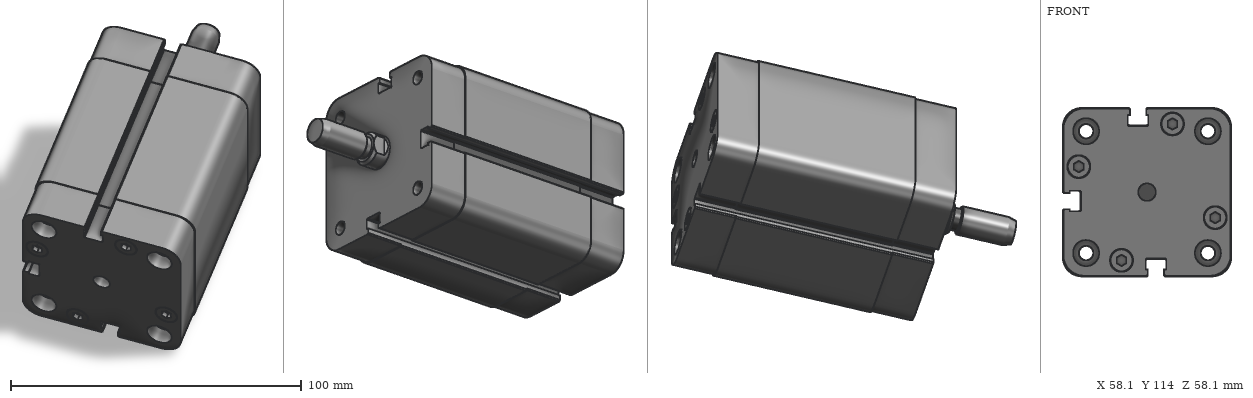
import cadquery as cq
import math


overall_length = 114.0
rod_length = 28.5
cap_length = 14.7
body_size = 58.1
cap_step = 0.3
cap_size = body_size - 2 * cap_step
corner_radius = 6.8
block_length = overall_length - rod_length
barrel_length = block_length - 2 * cap_length

slot_offset = 3.1
slot_mouth_width = 5.5
slot_undercut_width = 7.0
slot_ledge_distance = 26.6
slot_depth = 6.0
slot_mouth_chamfer = 0.5
slot_floor_chamfer = 0.3
slot_angles = (0, 90, 180)

mount_spacing = 42.0
mount_hole_diameter = 4.9
mount_counterbore_diameter = 9.0
mount_counterbore_depth = 5.7

screw_offset_along_side = 8.8
screw_offset_to_side = 23.5
screw_head_diameter = 7.5
screw_recess_diameter = 8.0
screw_recess_depth = 4.0
hex_across_flats = 3.4
hex_depth = 2.0

center_hole_diameter = 6.0
center_hole_depth = 11.4

collar_diameter = 12.0
collar_length = 6.4
collar_chamfer_length = 1.1
flats_width = 10.0
flats_start = 1.8
neck_diameter = 7.9
thread_start = 9.0
thread_diameter = 10.0
thread_root_chamfer = 0.5
tip_diameter = 8.5
tip_length = 2.7


def rear_plane(y=0.0):
    """Plane square to the rod at depth y, local axes along +X and +Z, normal along -Y."""
    return cq.Workplane("XZ", origin=(0, y, 0))


def cylinder_along_y(x, z, diameter, y_start, length):
    return rear_plane(y_start).center(x, z).circle(diameter / 2).extrude(-length)


def slot_cutter(face_distance, y_start, length):
    """T-slot cutter for the top face of a block whose sides are face_distance from the axis."""
    half_mouth = slot_mouth_width / 2
    half_undercut = slot_undercut_width / 2
    half_entry = half_mouth + slot_mouth_chamfer
    floor = face_distance - slot_depth
    right_side = [
        (half_undercut - slot_floor_chamfer, floor),
        (half_undercut, floor + slot_floor_chamfer),
        (half_undercut, slot_ledge_distance),
        (half_mouth, slot_ledge_distance),
        (half_mouth, face_distance - slot_mouth_chamfer),
        (half_entry, face_distance),
    ]
    left_side = [(-x, z) for x, z in reversed(right_side)]
    return (
        rear_plane(y_start)
        .center(-slot_offset, 0)
        .polyline(right_side + left_side)
        .close()
        .extrude(-length)
    )


def slotted_block(size, y_start, length):
    """Rounded square block with T-slots running along its full length."""
    block = rear_plane(y_start).rect(size, size).extrude(-length).edges("|Y").fillet(corner_radius)
    cutter = slot_cutter(size / 2, y_start, length)
    for angle in slot_angles:
        block = block.cut(cutter.rotate((0, 0, 0), (0, 1, 0), -angle))
    return block


def mount_hole_cutter(x, z):
    bore = cylinder_along_y(x, z, mount_hole_diameter, 0, block_length)
    counterbore = cylinder_along_y(x, z, mount_counterbore_diameter, 0, mount_counterbore_depth)
    return bore.union(counterbore)


def screw_cutter(x, z):
    """Thin ring around one screw head plus its hexagon socket, one corner pointing up."""
    recess = cylinder_along_y(x, z, screw_recess_diameter, 0, screw_recess_depth)
    head = cylinder_along_y(x, z, screw_head_diameter, 0, screw_recess_depth)
    hex_across_corners = hex_across_flats / math.cos(math.pi / 6)
    socket = (
        rear_plane()
        .polygon(6, hex_across_corners)
        .extrude(-hex_depth)
        .rotate((0, 0, 0), (0, 1, 0), 90)
        .translate((x, 0, z))
    )
    return recess.cut(head).union(socket)


def piston_rod():
    collar_radius = collar_diameter / 2
    flats_radius = flats_width / 2
    neck_radius = neck_diameter / 2
    thread_radius = thread_diameter / 2
    profile = [
        (0, 0),
        (collar_radius, 0),
        (collar_radius, collar_length - collar_chamfer_length),
        (flats_radius, collar_length),
        (neck_radius, collar_length),
        (neck_radius, thread_start),
        (thread_radius - thread_root_chamfer, thread_start),
        (thread_radius, thread_start + thread_root_chamfer),
        (thread_radius, rod_length - tip_length),
        (tip_diameter / 2, rod_length),
        (0, rod_length),
    ]
    rod = cq.Workplane("XY").polyline(profile).close().revolve(360, (0, 0, 0), (0, 1, 0))

    flat_depth = collar_radius - flats_radius
    flat_outline = [
        (flats_radius, collar_length),
        (flats_radius, flats_start),
        (collar_radius, flats_start - flat_depth),
        (collar_radius, collar_length),
    ]
    flat = cq.Workplane("XY").polyline(flat_outline).close().extrude(collar_radius, both=True)
    rod = rod.cut(flat).cut(flat.mirror("YZ"))
    return rod.translate((0, block_length, 0))


result = slotted_block(cap_size, 0, cap_length)
result = result.union(slotted_block(body_size, cap_length, barrel_length))
result = result.union(slotted_block(cap_size, cap_length + barrel_length, cap_length))

for x_side in (-1, 1):
    for z_side in (-1, 1):
        result = result.cut(mount_hole_cutter(x_side * mount_spacing / 2, z_side * mount_spacing / 2))

screw_x = screw_offset_along_side
screw_z = screw_offset_to_side
for _ in range(4):
    result = result.cut(screw_cutter(screw_x, screw_z))
    screw_x, screw_z = screw_z, -screw_x

result = result.cut(cylinder_along_y(0, 0, center_hole_diameter, 0, center_hole_depth))
result = result.union(piston_rod())